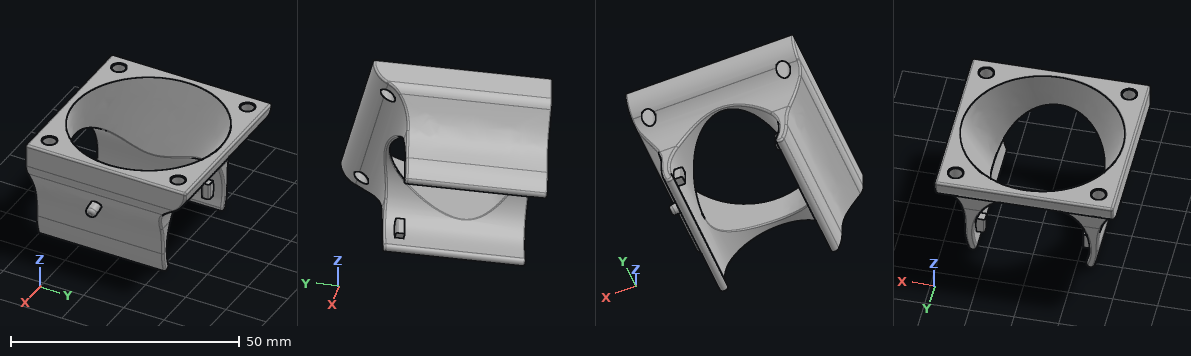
import cadquery as cq
import math

width = 40.0
half_width = width / 2
height = 27.4
edge_fillet = 0.5

wall = 2.0
clip_inner_radius = 12.95
clip_outer_radius = clip_inner_radius + wall
clip_mid_radius = clip_inner_radius + wall / 2
clip_axis_z = -21.8
arch_top_z = clip_axis_z + clip_inner_radius
tip_center_z = wall / 2 - height
tip_angle = math.asin((clip_axis_z - tip_center_z) / clip_mid_radius)

plate_side_depth = 5.5
shoulder_z = -8.0
shoulder_slope = math.radians(33)
shoulder_drop = -shoulder_z - plate_side_depth
shoulder_x = half_width - shoulder_drop * math.tan(shoulder_slope / 2)
leg_neck = (15.45, -15.6)

back_land = 0.55
back_bend_y = 16.7
back_bend_z = -6.05
leg_back_y = 11.7
leg_back_z = -14.8

funnel_top_radius = 18.1
funnel_axis_radius = 10.75
funnel_lip_fillet = 0.15
funnel_mouth_fillet = 0.3

hole_diameter = 3.1
hole_offset = 16.0
hole_depth = 8.0
hole_chamfer = 0.2
countersink_angle = 90

stop_inner_x = 10.9
stop_height = 3.9
stop_length = 2.0
stop_center_y = 8.2
stop_center_z = -21.9
stop_fillet = 0.4

peg_diameter = 2.55
peg_end_x = 19.35
peg_end_z = -13.75
peg_tilt = 15.0
peg_length = 4.0
peg_fillet = 0.8
peg_y = (leg_back_y - half_width) / 2


def on_clip(radius, angle):
    """Point (x, z) on a circle about the clip axis, angle measured below +X."""
    return radius * math.cos(angle), clip_axis_z - radius * math.sin(angle)


def mirrored(point):
    """The same outline point on the -X side."""
    return -point[0], point[1]


def make_body():
    """Front outline pushed along Y, with the S-curved back cut away."""
    shoulder = (shoulder_x, shoulder_z)
    side_end = (half_width, -plate_side_depth)
    leg_start = (clip_outer_radius, clip_axis_z)
    outer_mid = on_clip(clip_outer_radius, tip_angle / 2)
    outer_end = on_clip(clip_outer_radius, tip_angle)
    inner_end = on_clip(clip_inner_radius, tip_angle)
    tip_x, tip_z = on_clip(clip_mid_radius, tip_angle)
    tip = (tip_x - wall / 2 * math.sin(tip_angle), tip_z - wall / 2 * math.cos(tip_angle))
    arch_top = (0, arch_top_z)
    down = (0, -1)
    up = (0, 1)
    slope_down = (-math.sin(shoulder_slope), -math.cos(shoulder_slope))
    slope_up = (-math.sin(shoulder_slope), math.cos(shoulder_slope))

    body = (
        cq.Workplane("XZ", origin=(0, half_width, 0))
        .moveTo(-half_width, 0)
        .lineTo(half_width, 0)
        .lineTo(*side_end)
        .tangentArcPoint(shoulder, relative=False)
        .spline([leg_neck, leg_start], tangents=[slope_down, down], includeCurrent=True)
        .threePointArc(outer_mid, outer_end)
        .threePointArc(tip, inner_end)
        .threePointArc(arch_top, mirrored(inner_end))
        .threePointArc(mirrored(tip), mirrored(outer_end))
        .threePointArc(mirrored(outer_mid), mirrored(leg_start))
        .spline([mirrored(leg_neck), mirrored(shoulder)], tangents=[up, slope_up], includeCurrent=True)
        .tangentArcPoint(mirrored(side_end), relative=False)
        .close()
        .extrude(width)
    )
    side_outline = (
        cq.Workplane("YZ", origin=(-half_width, 0, 0))
        .moveTo(-half_width, -height)
        .lineTo(-half_width, edge_fillet)
        .lineTo(half_width, edge_fillet)
        .lineTo(half_width, -back_land)
        .tangentArcPoint((back_bend_y, back_bend_z), relative=False)
        .tangentArcPoint((leg_back_y, leg_back_z), relative=False)
        .lineTo(leg_back_y, -height)
        .close()
        .extrude(width)
    )
    body = body.intersect(side_outline)
    return body.edges(">Z or (not (|X or |Y))").fillet(edge_fillet)


def cut_funnel(body):
    """Cut the slanted cone, then round its lip and its mouth into the clip bore."""
    axis_shift = funnel_axis_radius - funnel_top_radius
    funnel = (
        cq.Workplane("XY")
        .circle(funnel_top_radius)
        .workplane(offset=clip_axis_z)
        .center(0, axis_shift)
        .circle(funnel_axis_radius)
        .loft(ruled=True)
    )
    body = body.cut(funnel)
    body = body.faces(">Z").edges("%CIRCLE").fillet(funnel_lip_fillet)
    cone_middle = (0, axis_shift / 2, clip_axis_z / 2)
    mouth = body.edges(cq.NearestToPointSelector(cone_middle))
    return mouth.fillet(funnel_mouth_fillet)


def cut_screw_holes(body):
    """Four blind holes; the back pair opens through the curved back."""
    return (
        body.faces(">Z")
        .workplane(origin=(0, 0, 0))
        .rect(2 * hole_offset, 2 * hole_offset, forConstruction=True)
        .vertices()
        .cskHole(hole_diameter, hole_diameter + 2 * hole_chamfer, countersink_angle, hole_depth)
    )


def make_stop(side):
    """Block inside one leg, its inner upright edges rounded."""
    depth = clip_mid_radius - stop_inner_x
    block = cq.Workplane("XY").box(depth, stop_length, stop_height)
    block = block.edges("<X and |Z").fillet(stop_fillet)
    block = block.translate((stop_inner_x + depth / 2, stop_center_y, stop_center_z))
    return block if side > 0 else block.mirror("YZ")


def make_peg():
    """Round-ended peg tilted downwards, rooted in the +X shoulder."""
    return (
        cq.Workplane("YZ")
        .circle(peg_diameter / 2)
        .extrude(-peg_length)
        .faces(">X")
        .edges()
        .fillet(peg_fillet)
        .rotate((0, 0, 0), (0, 1, 0), peg_tilt)
        .translate((peg_end_x, peg_y, peg_end_z))
    )


result = make_body()
result = cut_funnel(result)
result = cut_screw_holes(result)
for leg_side in (-1, 1):
    result = result.union(make_stop(leg_side))
result = result.union(make_peg())